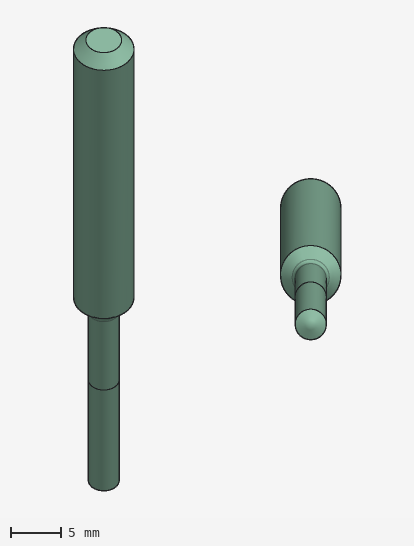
import cadquery as cq
import math

total_length = 62.0
shank_diameter = 6.0
neck_diameter = 3.1
top_chamfer = 1.25
shoulder_height = 26.1
shoulder_fillet = 1.0
joint_height = 14.7
point_height = 0.6

shank_radius = shank_diameter / 2
neck_radius = neck_diameter / 2

shoulder_angle = math.radians(45)
cone_end_height = shoulder_height - (shank_radius - neck_radius) / math.tan(shoulder_angle)
fillet_setback = shoulder_fillet * math.tan(shoulder_angle / 2)
fillet_bottom = (neck_radius, cone_end_height - fillet_setback)
fillet_middle = (
    neck_radius + shoulder_fillet * (1 - math.cos(shoulder_angle / 2)),
    fillet_bottom[1] + shoulder_fillet * math.sin(shoulder_angle / 2),
)
fillet_top = (
    neck_radius + fillet_setback * math.sin(shoulder_angle),
    cone_end_height + fillet_setback * math.cos(shoulder_angle),
)


def revolve_profile(profile):
    """Revolve a closed (radius, height) profile a full turn about the Z axis."""
    return profile.close().revolve(360, (0, 0, 0), (0, 1, 0))


def make_shank():
    """Chamfered shank with a filleted shoulder and the upper part of the neck."""
    profile = (
        cq.Workplane("XZ")
        .moveTo(0, joint_height)
        .lineTo(neck_radius, joint_height)
        .lineTo(*fillet_bottom)
        .threePointArc(fillet_middle, fillet_top)
        .lineTo(shank_radius, shoulder_height)
        .lineTo(shank_radius, total_length - top_chamfer)
        .lineTo(shank_radius - top_chamfer, total_length)
        .lineTo(0, total_length)
    )
    return revolve_profile(profile)


def make_cutting_tip():
    """Cylindrical tip with a shallow conical point, butted against the neck."""
    profile = (
        cq.Workplane("XZ")
        .moveTo(0, 0)
        .lineTo(neck_radius, point_height)
        .lineTo(neck_radius, joint_height)
        .lineTo(0, joint_height)
    )
    return revolve_profile(profile)


shank = make_shank()
cutting_tip = make_cutting_tip()

result = cq.Compound.makeCompound([shank.val(), cutting_tip.val()])